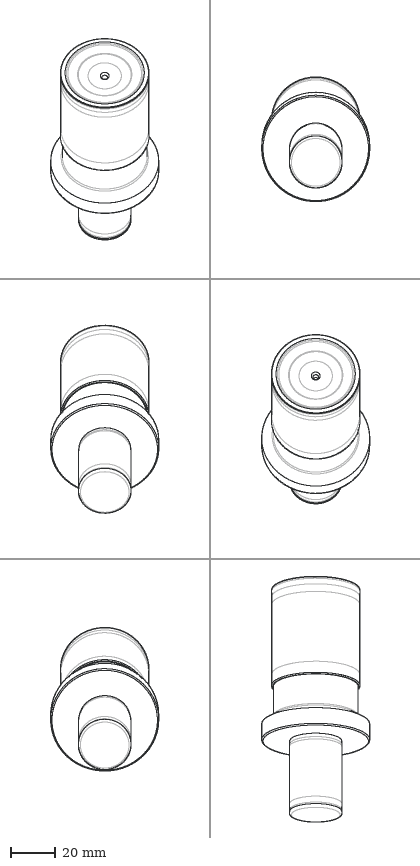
import cadquery as cq
import math

TOTAL_HEIGHT = 107.0

SHANK_RADIUS = 12.0
NECK_RADIUS = 11.8
LIP_ROUND = 1.0
LIP_TOP = 1.5
GROOVE_TOP = 2.25
SHANK_BOTTOM = 5.0
SHANK_TOP = 32.2
NECK_BOTTOM = 33.4

FLANGE_RADIUS = 24.5
FLANGE_BOTTOM = 35.0
FLANGE_EDGE = 43.1
FLANGE_CHAMFER = 0.6
FLANGE_SLOPE = math.radians(30)
FLANGE_FILLET = 1.0

COLLAR_RADIUS = 19.25
HEAD_RADIUS = 20.1
BARREL_RADIUS = 19.95
HEAD_BOTTOM = 60.8
HEAD_CHAMFER = 0.5
BARREL_BOTTOM = 66.6
BARREL_TOP = 99.8
RIM_BOTTOM = 103.4
RIM_BASE_RADIUS = 19.98
RIM_CHAMFER_WIDTH = 0.25
RIM_CHAMFER_HEIGHT = 0.3
RIM_LAND_HEIGHT = 0.7

RIM_INNER_RADIUS = 17.95
WALL_END_RADIUS = 17.35
WALL_END_DEPTH = 0.32
DISH_RADIUS = 16.7
DISH_DEPTH = 0.54
STEP_OUTER_RADIUS = 12.3
STEP_INNER_RADIUS = 12.0
STEP_UPPER_DEPTH = 1.25
STEP_LOWER_DEPTH = 1.4
FLOOR_RADIUS = 7.55
FLOOR_DEPTH = 2.15

HOLE_RADIUS = 1.25
COUNTERSINK_RADIUS = 2.0
COUNTERSINK_DEPTH = 1.1
HOLE_DEPTH = 4.0
TIP_ANGLE = math.radians(118)


def draw_shank(outline):
    """Go from the foot of the axis up to the underside of the flange."""
    lip_centre_radius = SHANK_RADIUS - LIP_ROUND
    lip_rise = LIP_TOP - LIP_ROUND
    lip_top_radius = lip_centre_radius + math.sqrt(LIP_ROUND**2 - lip_rise**2)
    return (
        outline.lineTo(lip_centre_radius, 0)
        .threePointArc((SHANK_RADIUS, LIP_ROUND), (lip_top_radius, LIP_TOP))
        .lineTo(NECK_RADIUS, GROOVE_TOP)
        .lineTo(SHANK_RADIUS, SHANK_BOTTOM)
        .lineTo(SHANK_RADIUS, SHANK_TOP)
        .lineTo(NECK_RADIUS, NECK_BOTTOM)
        .lineTo(NECK_RADIUS, FLANGE_BOTTOM)
    )


def draw_flange(outline):
    """Go round the flange and up its slope, blending into the collar."""
    slope_height = (FLANGE_RADIUS - COLLAR_RADIUS) * math.tan(FLANGE_SLOPE)
    corner_height = FLANGE_EDGE + slope_height
    turn = math.pi / 2 - FLANGE_SLOPE
    tangent = FLANGE_FILLET * math.tan(turn / 2)
    blend_start = (
        COLLAR_RADIUS + tangent * math.cos(FLANGE_SLOPE),
        corner_height - tangent * math.sin(FLANGE_SLOPE),
    )
    blend_centre = (COLLAR_RADIUS + FLANGE_FILLET, corner_height + tangent)
    blend_middle = (
        blend_centre[0] - FLANGE_FILLET * math.cos(turn / 2),
        blend_centre[1] - FLANGE_FILLET * math.sin(turn / 2),
    )
    return (
        outline.lineTo(FLANGE_RADIUS - FLANGE_CHAMFER, FLANGE_BOTTOM)
        .lineTo(FLANGE_RADIUS, FLANGE_BOTTOM + FLANGE_CHAMFER)
        .lineTo(FLANGE_RADIUS, FLANGE_EDGE)
        .lineTo(*blend_start)
        .threePointArc(blend_middle, (COLLAR_RADIUS, blend_centre[1]))
    )


def draw_head(outline):
    """Go up the collar and the barrel to the flat of the rim."""
    rim_land_top = TOTAL_HEIGHT - RIM_CHAMFER_HEIGHT
    return (
        outline.lineTo(COLLAR_RADIUS, HEAD_BOTTOM)
        .lineTo(HEAD_RADIUS - HEAD_CHAMFER, HEAD_BOTTOM)
        .lineTo(HEAD_RADIUS, HEAD_BOTTOM + HEAD_CHAMFER)
        .lineTo(BARREL_RADIUS, BARREL_BOTTOM)
        .lineTo(BARREL_RADIUS, BARREL_TOP)
        .lineTo(RIM_BASE_RADIUS, RIM_BOTTOM)
        .lineTo(HEAD_RADIUS, rim_land_top - RIM_LAND_HEIGHT)
        .lineTo(HEAD_RADIUS, rim_land_top)
        .lineTo(HEAD_RADIUS - RIM_CHAMFER_WIDTH, TOTAL_HEIGHT)
        .lineTo(RIM_INNER_RADIUS, TOTAL_HEIGHT)
    )


def draw_dish(outline):
    """Go down the dish wall, its rounded foot and the sloped floor to the flat round the hole."""
    return (
        outline.lineTo(WALL_END_RADIUS, TOTAL_HEIGHT - WALL_END_DEPTH)
        .tangentArcPoint((DISH_RADIUS, TOTAL_HEIGHT - DISH_DEPTH), relative=False)
        .lineTo(STEP_OUTER_RADIUS, TOTAL_HEIGHT - STEP_UPPER_DEPTH)
        .lineTo(STEP_INNER_RADIUS, TOTAL_HEIGHT - STEP_LOWER_DEPTH)
        .lineTo(FLOOR_RADIUS, TOTAL_HEIGHT - FLOOR_DEPTH)
    )


def draw_centre_hole(outline):
    """Cross the flat, then go down the countersunk hole to its tip."""
    mouth = TOTAL_HEIGHT - FLOOR_DEPTH
    tip_height = HOLE_RADIUS / math.tan(TIP_ANGLE / 2)
    return (
        outline.lineTo(COUNTERSINK_RADIUS, mouth)
        .lineTo(HOLE_RADIUS, mouth - COUNTERSINK_DEPTH)
        .lineTo(HOLE_RADIUS, mouth - HOLE_DEPTH)
        .lineTo(0, mouth - HOLE_DEPTH - tip_height)
    )


section_plane = cq.Plane(origin=(0, 0, 0), xDir=(0, -1, 0), normal=(-1, 0, 0))
outline = cq.Workplane(section_plane).moveTo(0, 0)
for draw_section in (draw_shank, draw_flange, draw_head, draw_dish, draw_centre_hole):
    outline = draw_section(outline)

result = outline.close().revolve(360, (0, 0, 0), (0, 1, 0))